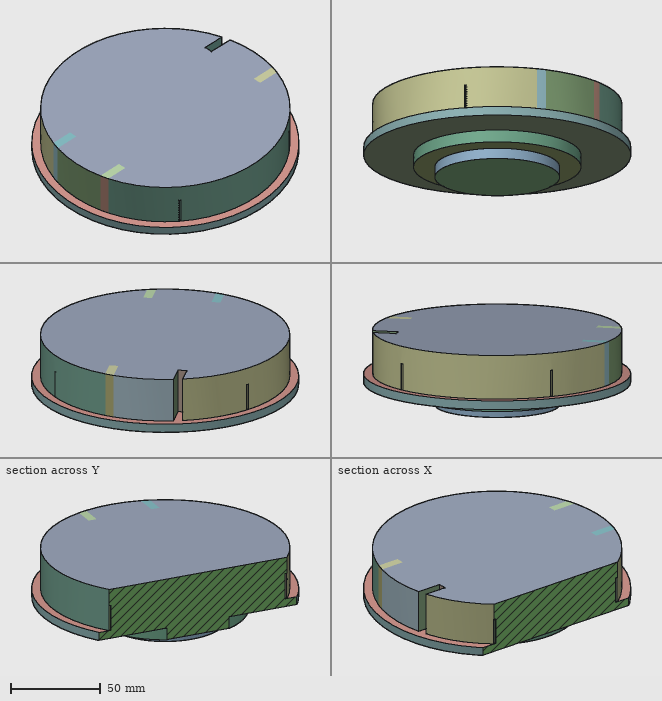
import cadquery as cq

DRUM_DIAMETER = 140.0
DRUM_HEIGHT = 25.0
FLANGE_DIAMETER = 150.0
FLANGE_HEIGHT = 5.0
COLLAR_DIAMETER = 94.0
COLLAR_HEIGHT = 7.0
SPIGOT_DIAMETER = 70.0
SPIGOT_HEIGHT = 6.0

SLOT_WIDTH = 5.0
SLOT_OFFSET = 19.5
SLOT_INNER_END = 53.25
FILLED_SLOTS = ((-1, -1), (1, -1), (1, 1))

NICK_CORNER_X = 55.1
NICK_CORNER_Y = 43.3
NICK_SIZE = 1.0
NICK_HEIGHT = 15.0


def disc(diameter, height, base_z):
    """Solid round step standing on base_z."""
    return cq.Workplane("XY").workplane(offset=base_z).circle(diameter / 2).extrude(height)


def slot_volume(x_side, y_side):
    """Full-height block from the closed end of a slot out past the drum rim."""
    length = FLANGE_DIAMETER / 2 - SLOT_INNER_END
    centre_y = SLOT_INNER_END + length / 2
    return (
        cq.Workplane("XY")
        .center(x_side * SLOT_OFFSET, y_side * centre_y)
        .rect(SLOT_WIDTH, length)
        .extrude(DRUM_HEIGHT)
    )


def make_body():
    """Flange, collar and spigot hanging below the drum, whose base is at Z = 0."""
    flange_base = -FLANGE_HEIGHT
    collar_base = flange_base - COLLAR_HEIGHT
    spigot_base = collar_base - SPIGOT_HEIGHT
    return (
        disc(DRUM_DIAMETER, DRUM_HEIGHT, 0)
        .union(disc(FLANGE_DIAMETER, FLANGE_HEIGHT, flange_base))
        .union(disc(COLLAR_DIAMETER, COLLAR_HEIGHT, collar_base))
        .union(disc(SPIGOT_DIAMETER, SPIGOT_HEIGHT, spigot_base))
    )


def make_insert(x_side, y_side):
    """Block that fills a slot flush with the drum's top and rim."""
    return slot_volume(x_side, y_side).intersect(disc(DRUM_DIAMETER, DRUM_HEIGHT, 0))


def nick_volume(x_side, y_side):
    """Square block whose outer corner just breaks through the drum wall."""
    centre_x = NICK_CORNER_X - NICK_SIZE / 2
    centre_y = NICK_CORNER_Y - NICK_SIZE / 2
    return (
        cq.Workplane("XY")
        .center(x_side * centre_x, y_side * centre_y)
        .rect(NICK_SIZE, NICK_SIZE)
        .extrude(NICK_HEIGHT)
    )


def make_part():
    """Nick and slot the drum at four places each; fill every slot but the one at -X, +Y."""
    part = make_body()
    for x_side in (-1, 1):
        for y_side in (-1, 1):
            part = part.cut(slot_volume(x_side, y_side))
            part = part.cut(nick_volume(x_side, y_side))
    for x_side, y_side in FILLED_SLOTS:
        part = part.union(make_insert(x_side, y_side), clean=False)
    return part


result = make_part()